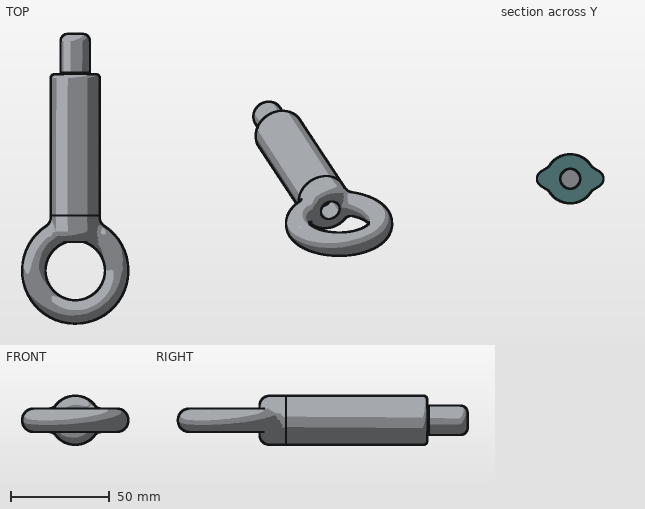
import cadquery as cq


barrel_diameter = 25.0

ring_inner_diameter = 30.0
ring_wire_diameter = 12.0
ring_wire_radius = ring_wire_diameter / 2
ring_centre_radius = (ring_inner_diameter + ring_wire_diameter) / 2
ring_outer_radius = ring_centre_radius + ring_wire_radius

neck_end_y = 14.4
neck_length = 13.4
base_y = neck_end_y + neck_length
neck_end_fillet = 5.2
ring_blend_radius = 5.0
bore_diameter = 10.0

overall_length = 147.01
tip_y = overall_length - ring_outer_radius
pin_diameter = 15.0
pin_length = 19.7
pin_tip_fillet = 3.75
undercut_diameter = 12.0
undercut_width = 0.8
pin_shoulder_y = tip_y - pin_length
barrel_end_y = pin_shoulder_y - undercut_width
barrel_end_fillet = 2.0


def cylinder_along_y(diameter, start_y, end_y):
    """Solid cylinder on the Y axis between two stations."""
    start_plane = cq.Workplane("XZ", origin=(0, start_y, 0))
    return start_plane.circle(diameter / 2).extrude(start_y - end_y)


def make_eye_nut():
    """Ring blended into a short round neck that is bored along its axis."""
    neck = cylinder_along_y(barrel_diameter, neck_end_y, base_y)
    neck = neck.faces("<Y").edges().fillet(neck_end_fillet)
    ring = cq.Workplane(cq.Solid.makeTorus(ring_centre_radius, ring_wire_radius))
    eye = neck.union(ring)

    eye = eye.edges("%BSPLINE").fillet(ring_blend_radius)

    bore = cylinder_along_y(bore_diameter, 0, base_y)
    return eye.cut(bore)


def make_shaft():
    """Barrel, undercut and locating pin turned on the Y axis."""
    barrel = cylinder_along_y(barrel_diameter, base_y, barrel_end_y)
    barrel = barrel.faces(">Y").edges().fillet(barrel_end_fillet)
    undercut = cylinder_along_y(undercut_diameter, barrel_end_y, pin_shoulder_y)
    pin = cylinder_along_y(pin_diameter, pin_shoulder_y, tip_y)
    pin = pin.faces(">Y").edges().fillet(pin_tip_fillet)
    return barrel.union(undercut).union(pin)


eye_nut = make_eye_nut()
shaft = make_shaft()

result = cq.Compound.makeCompound([eye_nut.val(), shaft.val()])